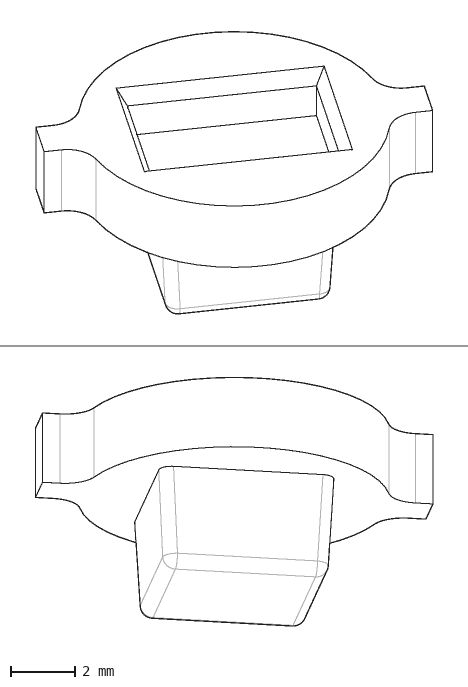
import cadquery as cq
import math

tilt = 50.0
disc_radius = 4.85
disc_thickness = 2.3
tab_width = 1.39
tab_reach = 6.15
tab_fillet = 1.0
stem_height = 3.2
stem_side = 5.51
stem_taper = 3.0
stem_fillet = 0.4
pocket_length = 6.58
pocket_width = 4.72
pocket_bevel_inset = 0.3
pocket_bevel_depth = 0.51
pocket_depth = 1.62

disc_top = disc_thickness


def make_disc():
    """Round plate with two opposite tabs along local X; its underside is at Z = 0."""
    disc = cq.Workplane("XY").circle(disc_radius).extrude(disc_thickness)
    tabs = cq.Workplane("XY").rect(2 * tab_reach, tab_width).extrude(disc_thickness)
    half_width = tab_width / 2
    root_x = math.sqrt(disc_radius**2 - half_width**2)
    plate = disc.union(tabs)
    for x in (-root_x, root_x):
        for y in (-half_width, half_width):
            root_edge = cq.selectors.NearestToPointSelector((x, y, disc_thickness / 2))
            plate = plate.edges(root_edge).fillet(tab_fillet)
    return plate


def make_stem():
    """Tapered square stem hanging below the disc, with rounded sides and end."""
    stem = (
        cq.Workplane("XY")
        .rect(stem_side, stem_side)
        .extrude(-stem_height, taper=stem_taper)
    )
    return stem.edges("not >Z").fillet(stem_fillet)


def make_pocket():
    """Rectangular recess with straight walls below a bevelled rim."""
    floor_length = pocket_length - 2 * pocket_bevel_inset
    floor_width = pocket_width - 2 * pocket_bevel_inset
    well = (
        cq.Workplane("XY", origin=(0, 0, disc_top - pocket_depth))
        .rect(floor_length, floor_width)
        .extrude(pocket_depth)
    )
    bevel = (
        cq.Workplane("XY", origin=(0, 0, disc_top - pocket_bevel_depth))
        .rect(floor_length, floor_width)
        .workplane(offset=pocket_bevel_depth)
        .rect(pocket_length, pocket_width)
        .loft(ruled=True)
    )
    return well.union(bevel)


body = make_disc().union(make_stem()).cut(make_pocket())
result = body.rotate((0, 0, 0), (0, 0, 1), tilt)